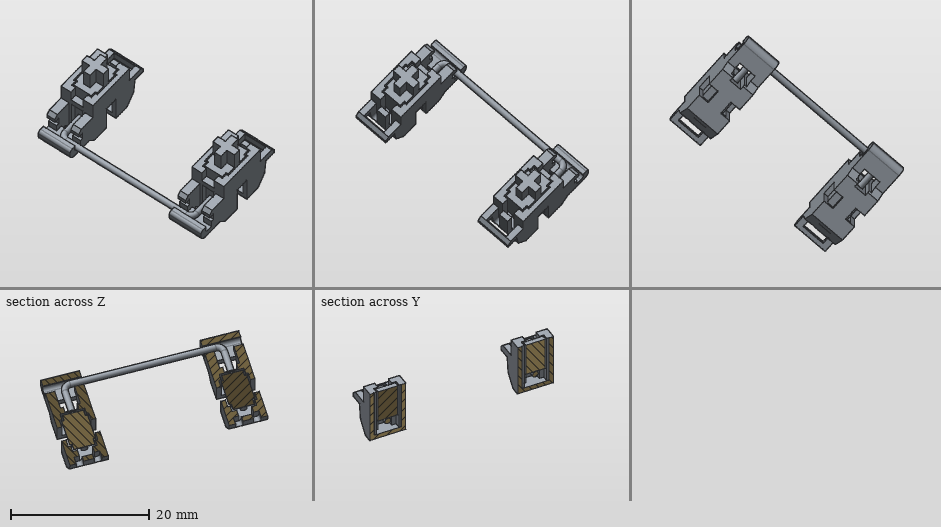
import cadquery as cq
import math


module_spacing = 24.0
housing_half_width = 2.93
body_half_length = 4.3
body_height = 8.55
deck_height = 5.73
flange_underside = 4.5
edge_chamfer = 0.6

wire_diameter = 1.0
wire_radius = wire_diameter / 2
wire_bend_radius = 1.0
wire_front_y = -8.03
wire_end_y = 2.98

flange_rear_y = 7.55
rear_wall_top_y = 5.6
rear_wall_y = 5.3
rear_chamfer_height = 1.95
rear_bottom_y = 3.73
rear_pocket_end_y = 6.85
rear_pocket_half_width = 1.9
tab_half_width = 0.8
tab_front_y = 4.45
tab_height = 6.85
tab_slot_bottom = 1.82

ear_tip_y = -7.65
ear_neck_y = -6.72
channel_rear_y = -7.22
front_bottom_y = -4.03
hook_underside = 1.1
hook_front_y = -9.67
hook_top = 3.28
hook_lip_y = -8.48
hook_top_radius = 0.5
hook_bottom_radius = 1.0
channel_floor = 2.1
channel_radius = 0.57
ear_gap_half_width = 1.45
floor_plate_rear_y = -6.12
recess_half_width = 1.0
recess_depth = 0.85

floor_thickness = 0.8
window_half_length = 1.1
window_inner_x = 1.22
notch_half_width = 1.1
notch_bottom = 6.72

stem_half_width = 1.97
stem_half_length = 3.0
stem_end_half_width = 1.6
stem_shoulder_y = 2.1
stem_clearance = 0.2
cross_arm_width = 1.2
overall_height = 11.5

wire_z = channel_floor + wire_radius
stem_bottom = wire_z + wire_radius


def box(x_min, x_max, y_min, y_max, z_min, z_max):
    """Block between the given limits."""
    return (
        cq.Workplane("XY")
        .box(x_max - x_min, y_max - y_min, z_max - z_min, centered=False)
        .translate((x_min, y_min, z_min))
    )


def centered_box(half_width, y_min, y_max, z_min, z_max):
    """Block that is symmetric about X = 0."""
    return box(-half_width, half_width, y_min, y_max, z_min, z_max)


def stepped_prism(half_width, end_half_width, half_length, shoulder_y, z_min, z_max):
    """Upright prism whose rectangular section is narrower at its two Y ends."""
    middle = centered_box(half_width, -shoulder_y, shoulder_y, z_min, z_max)
    ends = centered_box(end_half_width, -half_length, half_length, z_min, z_max)
    return middle.union(ends)


def housing_blank():
    """Side outline of the housing, with ears, rear flange and wire hook, across its full width."""
    chamfer_base = deck_height - edge_chamfer
    channel_axis_z = channel_floor + channel_radius
    lip_start_z = channel_axis_z + math.sqrt(channel_radius**2 - (wire_front_y - hook_lip_y) ** 2)
    return (
        cq.Workplane("YZ")
        .moveTo(rear_bottom_y, 0)
        .lineTo(rear_wall_y, rear_chamfer_height)
        .lineTo(rear_wall_top_y, flange_underside)
        .lineTo(flange_rear_y, flange_underside)
        .lineTo(flange_rear_y, chamfer_base)
        .lineTo(flange_rear_y - edge_chamfer, deck_height)
        .lineTo(body_half_length, deck_height)
        .lineTo(body_half_length, body_height)
        .lineTo(-body_half_length, body_height)
        .lineTo(-body_half_length, deck_height)
        .lineTo(ear_tip_y + edge_chamfer, deck_height)
        .lineTo(ear_tip_y, chamfer_base)
        .lineTo(ear_tip_y, flange_underside)
        .lineTo(ear_neck_y, flange_underside)
        .lineTo(ear_neck_y, hook_top)
        .lineTo(channel_rear_y, hook_top)
        .lineTo(channel_rear_y, channel_floor)
        .lineTo(wire_front_y, channel_floor)
        .threePointArc((wire_front_y - channel_radius, channel_axis_z), (hook_lip_y, lip_start_z))
        .lineTo(hook_lip_y, hook_top)
        .lineTo(hook_front_y + hook_top_radius, hook_top)
        .radiusArc((hook_front_y, hook_top - hook_top_radius), -hook_top_radius)
        .lineTo(hook_front_y, hook_underside + hook_bottom_radius)
        .radiusArc((hook_front_y + hook_bottom_radius, hook_underside), -hook_bottom_radius)
        .lineTo(front_bottom_y - hook_underside, hook_underside)
        .lineTo(front_bottom_y, 0)
        .close()
        .extrude(housing_half_width, both=True)
    )


def rear_cuts():
    """Rear pocket, and the slots that free the release tab in front of it."""
    slot_width = rear_pocket_half_width - tab_half_width
    slot_radius = slot_width / 2
    slot_axis_x = tab_half_width + slot_radius
    slot_axis_z = tab_slot_bottom + slot_radius

    cuts = centered_box(rear_pocket_half_width, rear_wall_y, rear_pocket_end_y, 0, deck_height)
    for side in (-1, 1):
        axis_x = side * slot_axis_x
        upper_slot = box(
            axis_x - slot_radius, axis_x + slot_radius,
            body_half_length, rear_wall_y, slot_axis_z, deck_height,
        )
        round_bottom = (
            cq.Workplane("XZ", origin=(axis_x, body_half_length, slot_axis_z))
            .circle(slot_radius)
            .extrude(body_half_length - rear_wall_y)
        )
        cuts = cuts.union(upper_slot).union(round_bottom)
    tab_gap = centered_box(tab_half_width, body_half_length, tab_front_y, slot_axis_z, deck_height)
    return cuts.union(tab_gap)


def front_cuts():
    """Gap between the ears, front wall recess and the hole that lets the wire into the cavity."""
    opening = centered_box(ear_gap_half_width, floor_plate_rear_y, -body_half_length, 0, deck_height)
    above_floor = centered_box(
        ear_gap_half_width, ear_tip_y, -body_half_length, channel_floor, deck_height
    )
    recess = centered_box(
        recess_half_width, -body_half_length, recess_depth - body_half_length, 0, deck_height
    )
    wire_hole = (
        cq.Workplane("XZ", origin=(0, 0, wire_z))
        .circle(wire_radius)
        .extrude(body_half_length)
    )
    return opening.union(above_floor).union(recess).union(wire_hole)


def inner_cuts():
    """Stem cavity, the notch in front of it, the slot behind it and the two side windows."""
    cavity = stepped_prism(
        stem_half_width + stem_clearance,
        stem_end_half_width + stem_clearance,
        stem_half_length + stem_clearance,
        stem_shoulder_y + stem_clearance,
        floor_thickness,
        body_height,
    )
    front_notch = centered_box(notch_half_width, -body_half_length, 0, notch_bottom, body_height)
    rear_slot = centered_box(notch_half_width, 0, body_half_length, floor_thickness, body_height)
    cuts = cavity.union(front_notch).union(rear_slot)
    for x_min, x_max in (
        (-housing_half_width, -window_inner_x),
        (window_inner_x, housing_half_width),
    ):
        cuts = cuts.union(
            box(x_min, x_max, -window_half_length, window_half_length, 0, flange_underside)
        )
    return cuts


def make_housing():
    """Housing centred on X = 0."""
    tab_top = centered_box(tab_half_width, tab_front_y, rear_wall_y, deck_height, tab_height)
    return (
        housing_blank()
        .cut(rear_cuts())
        .cut(front_cuts())
        .cut(inner_cuts())
        .union(tab_top)
    )


def make_stem():
    """Stem centred on X = 0: a stepped block with a cross-shaped post on top."""
    block = stepped_prism(
        stem_half_width, stem_end_half_width, stem_half_length, stem_shoulder_y,
        stem_bottom, body_height,
    )
    cross_length = 2 * stem_half_width
    post_height = overall_height - body_height
    post_base = cq.Workplane("XY", origin=(0, 0, body_height))
    arm_along_x = post_base.rect(cross_length, cross_arm_width).extrude(post_height)
    arm_along_y = post_base.rect(cross_arm_width, cross_length).extrude(post_height)
    return block.union(arm_along_x).union(arm_along_y)


def make_wire():
    """U-shaped wire with an arm into each housing."""
    arm_x = module_spacing / 2
    bend_start_x = arm_x - wire_bend_radius
    bend_start_y = wire_front_y + wire_bend_radius
    path = (
        cq.Workplane("XY", origin=(0, 0, wire_z))
        .moveTo(-arm_x, wire_end_y)
        .lineTo(-arm_x, bend_start_y)
        .radiusArc((-bend_start_x, wire_front_y), -wire_bend_radius)
        .lineTo(bend_start_x, wire_front_y)
        .radiusArc((arm_x, bend_start_y), -wire_bend_radius)
        .lineTo(arm_x, wire_end_y)
    )
    return (
        cq.Workplane("XZ", origin=(-arm_x, wire_end_y, wire_z))
        .circle(wire_radius)
        .sweep(path)
    )


housings = []
stems = []
for module_x in (-module_spacing / 2, module_spacing / 2):
    housings.append(make_housing().translate((module_x, 0, 0)).val())
    stems.append(make_stem().translate((module_x, 0, 0)).val())
wire = make_wire()

result = cq.Compound.makeCompound([*housings, *stems, wire.val()])